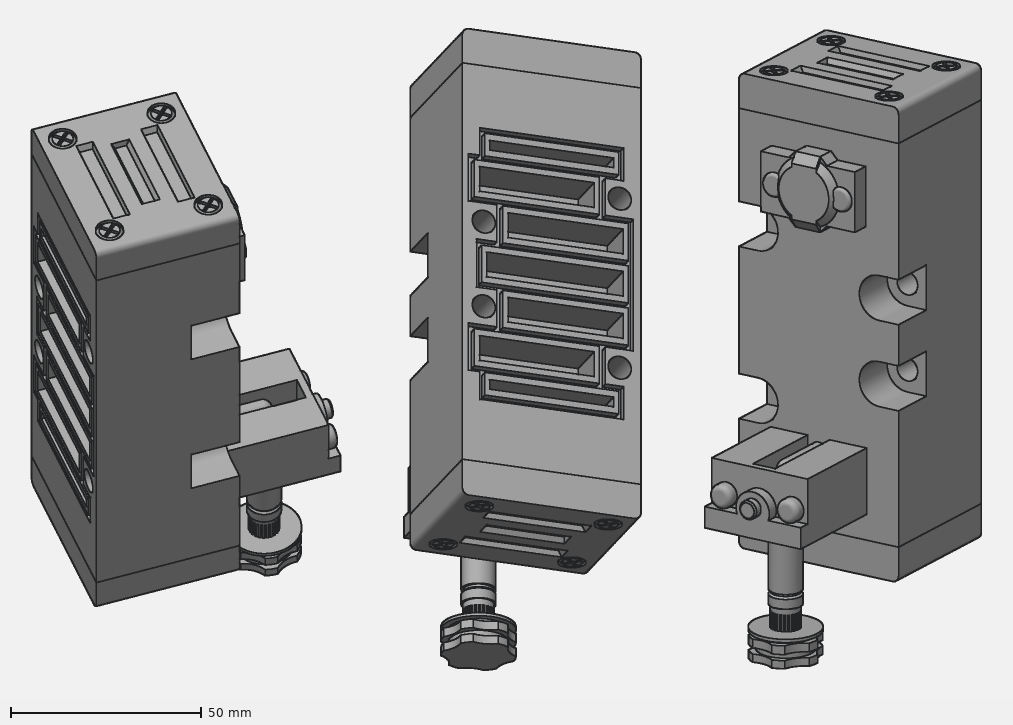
import cadquery as cq
import math


WIDTH = 50.0
DEPTH = 40.0
HEIGHT = 132.8
OVERALL_HEIGHT = 153.4
CAP_HEIGHT = 10.0
CAP_EDGE_RADIUS = 1.8
BODY_HEIGHT = HEIGHT - 2 * CAP_HEIGHT

GASKET_DEPTH = 2.3
POCKET_DEPTH = 12.3
GAP = 1.4
OUTER_ROW_Z = 24.0
ROW_PITCH = OUTER_ROW_Z / 2
ROW_FRAME_HEIGHT = 10.6
ROW_POCKET_HEIGHT = 7.0
CENTRE_LEFT, CENTRE_RIGHT = -19.6, 21.5
INNER_LEFT, INNER_RIGHT = -13.6, 21.5
OUTER_LEFT, OUTER_RIGHT = -21.6, 13.3
RIM = 1.45
END_FRAME_HALF = 18.7
END_FRAME_HEIGHT = 6.5
END_FRAME_Z = 34.0
END_RIM = 1.4
END_POCKET_HEIGHT = 2.8
WIDE_GAP = 1.7
CENTRE_GAP = 0.85
END_STEP = 1.5
HOLE_X = 19.0
HOLE_DIAMETER = 6.5
NUT_RECESS_RADIUS = 6.3
NUT_RECESS_DEPTH = 13.5

CAP_SLOT_DEPTH = 1.5
CAP_SLOT_OFFSET = 9.0
SIDE_SLOT_MOUTH = (28.5, 4.6)
SIDE_SLOT_FLOOR = (26.4, 3.7)
MIDDLE_SLOT_MOUTH = (23.6, 5.0)
MIDDLE_SLOT_FLOOR = (22.7, 3.2)
CAP_SCREW_SPACING = 36.0
CAP_SCREW_X = CAP_SCREW_SPACING / 2
CAP_SCREW_Y = 13.8
CAP_SCREW_RADIUS = 3.7
CAP_SCREW_CROWN = 2.8
CAP_SCREW_BEVEL_DEPTH = 0.9
CROSS_LENGTH = 5.2
CROSS_WIDTH = 0.8
CROSS_DEPTH = 1.2

UNIT_WIDTH = 30.0
UNIT_SCREW_X = 10.5
UNIT_SCREW_RADIUS = 3.4

COVER_Z = 39.5
COVER_WIDTH = 29.5
COVER_HEIGHT = 16.9
COVER_THICKNESS = 5.2
TAB_HALF_HEIGHT = 10.6
TAB_HALF_WIDTH = 3.8
TAB_SLOPE = TAB_HALF_HEIGHT - COVER_HEIGHT / 2
BOSS_HEIGHT = 2.0
BOSS_BASE_RADIUS = 9.8
BOSS_TOP_RADIUS = 7.8
COVER_SCREW_HEAD = 1.0
COVER_SCREW_ROUND = 0.9

PILOT_TOP = -30.7
PILOT_BOTTOM = -49.2
SHELF_Z = -43.2
PILOT_FACE_Y = 68.5
SHELF_Y = 71.9
CHANNEL_WIDTH = 6.9
CHANNEL_END_Y = 66.4
CHANNEL_DEPTH = 7.7
PILOT_SCREW_Z = SHELF_Z + UNIT_SCREW_RADIUS
PILOT_SCREW_ROUND = 1.5
BUTTON_RADIUS = 2.6
BUTTON_Z = SHELF_Z + BUTTON_RADIUS
BUTTON_END_Y = 74.5
BUTTON_BEVEL = 0.5
COLLAR_RADIUS = 5.2
COLLAR_Z = -41.4

SPINDLE_DIAMETER = 5.0
SPINDLE_RADIUS = SPINDLE_DIAMETER / 2
SPINDLE_SHOULDER_Y = 55.8
SPINDLE_END_Y = 58.1
SPINDLE_Z = PILOT_TOP - CHANNEL_DEPTH / 2

PLUG_Y = 56.0
STEM_RADIUS = 4.6
STEM_GROOVE_RADIUS = 4.0
STEM_NECK_RADIUS = 4.1
STEM_END = -68.1
RING_TOP = -68.9
RING_BEVEL = 0.6
RING_BOTTOM = -72.2
SERRATION_TOP = -74.0
SERRATION_COUNT = 24
SERRATION_DEPTH = 0.38
NUT_DIAMETER = 19.8
NUT_RADIUS = NUT_DIAMETER / 2
NUT_NECK_RADIUS = 8.0
NUT_TOP = -78.7
NUT_BOTTOM = HEIGHT / 2 - OVERALL_HEIGHT
RIM_BOTTOM = -79.6
UPPER_GRIP_TOP, UPPER_GRIP_BOTTOM = -80.5, -83.0
LOWER_GRIP_TOP = -84.6
SCOOP_COUNT = 6
SCOOP_RADIUS = 7.7
SCOOP_DEPTH = 1.4
SCOOP_ANGLE = 21.5


def box(x0, x1, y0, y1, z0, z1):
    """Box between opposite corner coordinates."""
    return cq.Workplane("XY").box(x1 - x0, y1 - y0, z1 - z0, centered=False).translate((x0, y0, z0))


def rod(x, z, radius, y0, y1):
    """Cylinder along +Y from y0 to y1."""
    return cq.Workplane(cq.Solid.makeCylinder(radius, y1 - y0, cq.Vector(x, y0, z), cq.Vector(0, 1, 0)))


def screw_head(x, z, y0, end_y, edge_radius):
    """Round screw head on the back, with a rounded rim at end_y."""
    return rod(x, z, UNIT_SCREW_RADIUS, y0, end_y).faces(">Y").edges().fillet(edge_radius)


def gasket_groove():
    """Stepped area enclosing all the frames, before the frames are put back."""
    centre_row_edge = ROW_PITCH / 2
    inner_row_edge = 3 * ROW_PITCH / 2
    centre_edge = centre_row_edge + CENTRE_GAP
    inner_edge_left = inner_row_edge - GAP / 2
    inner_edge_right = inner_row_edge + GAP / 2
    outer_edge_left = END_FRAME_Z - END_FRAME_HEIGHT / 2
    outer_edge_right = outer_edge_left - END_STEP
    end_edge = END_FRAME_Z + END_FRAME_HEIGHT / 2 + GAP
    end_half = END_FRAME_HALF + GAP
    upper_right = [
        (INNER_RIGHT + GAP, inner_edge_right),
        (OUTER_RIGHT + WIDE_GAP, inner_edge_right),
        (OUTER_RIGHT + WIDE_GAP, outer_edge_right),
        (end_half, outer_edge_right),
        (end_half, end_edge),
    ]
    upper_left = [
        (-end_half, end_edge),
        (-end_half, outer_edge_left),
        (OUTER_LEFT - WIDE_GAP, outer_edge_left),
        (OUTER_LEFT - WIDE_GAP, inner_edge_left),
        (INNER_LEFT - WIDE_GAP, inner_edge_left),
        (INNER_LEFT - WIDE_GAP, centre_edge),
        (CENTRE_LEFT - GAP, centre_edge),
    ]
    upper = upper_right + upper_left
    lower = [(x, -z) for x, z in reversed(upper)]
    return cq.Workplane("XZ").polyline(upper + lower).close().extrude(-GASKET_DEPTH)


def framed_pocket(body, z, left, right, rim, frame_height, pocket_height):
    """Stand a frame in the gasket groove and sink a pocket inside it."""
    frame_half = frame_height / 2
    pocket_half = pocket_height / 2
    frame = box(left, right, 0, GASKET_DEPTH, z - frame_half, z + frame_half)
    pocket = box(left + rim, right - rim, 0, POCKET_DEPTH, z - pocket_half, z + pocket_half)
    return body.union(frame).cut(pocket)


def spindle():
    """Cylinder along +Y whose free end bulges from its shoulder to its tip."""
    rise = SPINDLE_END_Y - SPINDLE_SHOULDER_Y
    nose_radius = (SPINDLE_RADIUS**2 + rise**2) / (2 * rise)
    half = SPINDLE_RADIUS / 2
    mid_y = SPINDLE_END_Y - nose_radius + math.sqrt(nose_radius**2 - half**2)
    profile = (
        cq.Workplane("XY")
        .moveTo(0, DEPTH)
        .lineTo(SPINDLE_RADIUS, DEPTH)
        .lineTo(SPINDLE_RADIUS, SPINDLE_SHOULDER_Y)
        .threePointArc((half, mid_y), (0, SPINDLE_END_Y))
        .close()
    )
    return profile.revolve(360, (0, 0, 0), (0, 1, 0)).translate((0, 0, SPINDLE_Z))


def manifold_body():
    body = box(-WIDTH / 2, WIDTH / 2, 0, DEPTH, -BODY_HEIGHT / 2, BODY_HEIGHT / 2)
    body = body.cut(gasket_groove())
    row_heights = (ROW_FRAME_HEIGHT, ROW_POCKET_HEIGHT)
    body = framed_pocket(body, 0, CENTRE_LEFT, CENTRE_RIGHT, RIM, *row_heights)
    for side in (-1, 1):
        body = framed_pocket(body, side * ROW_PITCH, INNER_LEFT, INNER_RIGHT, RIM, *row_heights)
        body = framed_pocket(body, side * OUTER_ROW_Z, OUTER_LEFT, OUTER_RIGHT, RIM, *row_heights)
        body = framed_pocket(
            body, side * END_FRAME_Z, -END_FRAME_HALF, END_FRAME_HALF, END_RIM,
            END_FRAME_HEIGHT, END_POCKET_HEIGHT,
        )

    recess_y = DEPTH - NUT_RECESS_DEPTH
    for side, row in ((-1, 1), (1, 2)):
        for z in (-row * ROW_PITCH, row * ROW_PITCH):
            x = side * HOLE_X
            body = body.cut(rod(x, z, HOLE_DIAMETER / 2, 0, DEPTH))
            body = body.cut(rod(x, z, NUT_RECESS_RADIUS, recess_y, DEPTH))
            x0, x1 = sorted((x, side * WIDTH / 2))
            body = body.cut(box(x0, x1, recess_y, DEPTH, z - NUT_RECESS_RADIUS, z + NUT_RECESS_RADIUS))

    return body.union(spindle())


def tapered_slot(y, mouth, floor):
    """Slot in the top face that narrows from mouth to floor."""
    return (
        cq.Workplane("XY", origin=(0, y, HEIGHT / 2))
        .rect(*mouth)
        .workplane(offset=-CAP_SLOT_DEPTH)
        .rect(*floor)
        .loft(combine=True)
    )


def cap_screw_cut(x, y):
    """Bevelled rim and cross recess that shape a flush screw head in the top face."""
    rim = (
        cq.Workplane("XZ")
        .polyline([(CAP_SCREW_CROWN, 0), (CAP_SCREW_RADIUS, 0), (CAP_SCREW_RADIUS, -CAP_SCREW_BEVEL_DEPTH)])
        .close()
        .revolve(360, (0, 0, 0), (0, 1, 0))
    )
    cross = cq.Workplane("XY").rect(CROSS_LENGTH, CROSS_WIDTH).extrude(-CROSS_DEPTH)
    cross = cross.union(cross.rotate((0, 0, 0), (0, 0, 1), 90)).rotate((0, 0, 0), (0, 0, 1), 45)
    return rim.union(cross).translate((x, y, HEIGHT / 2))


def end_cap():
    """Top end cap."""
    cap = box(-WIDTH / 2, WIDTH / 2, 0, DEPTH, BODY_HEIGHT / 2, HEIGHT / 2)
    cap = cap.faces(">Z").edges("|Y").fillet(CAP_EDGE_RADIUS)
    middle = DEPTH / 2
    cap = cap.cut(tapered_slot(middle, MIDDLE_SLOT_MOUTH, MIDDLE_SLOT_FLOOR))
    for side in (-1, 1):
        cap = cap.cut(tapered_slot(middle + side * CAP_SLOT_OFFSET, SIDE_SLOT_MOUTH, SIDE_SLOT_FLOOR))
        for x in (-CAP_SCREW_X, CAP_SCREW_X):
            cap = cap.cut(cap_screw_cut(x, middle + side * CAP_SCREW_Y))
    return cap


def cover_plate():
    face_y = DEPTH + COVER_THICKNESS
    top_y = face_y + BOSS_HEIGHT
    half_width = COVER_WIDTH / 2
    half_height = COVER_HEIGHT / 2
    foot = TAB_HALF_WIDTH + TAB_SLOPE
    upper = [
        (half_width, half_height),
        (foot, half_height),
        (TAB_HALF_WIDTH, TAB_HALF_HEIGHT),
        (-TAB_HALF_WIDTH, TAB_HALF_HEIGHT),
        (-foot, half_height),
        (-half_width, half_height),
    ]
    lower = [(x, -z) for x, z in reversed(upper)]
    plate = (
        cq.Workplane("XZ", origin=(0, DEPTH, 0))
        .polyline(upper + lower)
        .close()
        .extrude(-COVER_THICKNESS)
    )
    ridge = (
        cq.Workplane("YZ")
        .polyline([
            (face_y, -TAB_HALF_HEIGHT),
            (face_y, TAB_HALF_HEIGHT),
            (top_y, BOSS_TOP_RADIUS),
            (top_y, -BOSS_TOP_RADIUS),
        ])
        .close()
        .extrude(TAB_HALF_WIDTH, both=True)
    )
    boss = cq.Workplane(cq.Solid.makeCone(
        BOSS_BASE_RADIUS, BOSS_TOP_RADIUS, BOSS_HEIGHT, cq.Vector(0, face_y, 0), cq.Vector(0, 1, 0)
    ))
    cover = plate.union(boss).union(ridge)
    for x in (-UNIT_SCREW_X, UNIT_SCREW_X):
        cover = cover.union(screw_head(x, 0, DEPTH, face_y + COVER_SCREW_HEAD, COVER_SCREW_ROUND))
    return cover.translate((0, 0, COVER_Z))


def pilot_valve():
    half_width = UNIT_WIDTH / 2
    valve = box(-half_width, half_width, DEPTH, PILOT_FACE_Y, PILOT_BOTTOM, PILOT_TOP)
    valve = valve.union(box(-half_width, half_width, DEPTH, SHELF_Y, PILOT_BOTTOM, SHELF_Z))
    valve = valve.cut(box(
        -CHANNEL_WIDTH / 2, CHANNEL_WIDTH / 2,
        DEPTH, CHANNEL_END_Y,
        PILOT_TOP - CHANNEL_DEPTH, PILOT_TOP,
    ))
    for x in (-UNIT_SCREW_X, UNIT_SCREW_X):
        valve = valve.union(screw_head(x, PILOT_SCREW_Z, PILOT_FACE_Y, SHELF_Y, PILOT_SCREW_ROUND))
    valve = valve.union(rod(0, COLLAR_Z, COLLAR_RADIUS, PILOT_FACE_Y, SHELF_Y))
    button = rod(0, BUTTON_Z, BUTTON_RADIUS, PILOT_FACE_Y, BUTTON_END_Y)
    return valve.union(button.faces(">Y").chamfer(BUTTON_BEVEL))


def cable_connector():
    profile = [
        (0, PILOT_BOTTOM),
        (STEM_RADIUS, PILOT_BOTTOM),
        (STEM_RADIUS, STEM_END),
        (STEM_GROOVE_RADIUS, STEM_END),
        (STEM_GROOVE_RADIUS, RING_TOP),
        (STEM_RADIUS, RING_TOP - RING_BEVEL),
        (STEM_RADIUS, RING_BOTTOM),
        (STEM_NECK_RADIUS, RING_BOTTOM),
        (STEM_NECK_RADIUS, NUT_TOP),
        (NUT_RADIUS, NUT_TOP),
        (NUT_RADIUS, RIM_BOTTOM),
        (NUT_NECK_RADIUS, RIM_BOTTOM),
        (NUT_NECK_RADIUS, UPPER_GRIP_TOP),
        (NUT_RADIUS, UPPER_GRIP_TOP),
        (NUT_RADIUS, UPPER_GRIP_BOTTOM),
        (NUT_NECK_RADIUS, UPPER_GRIP_BOTTOM),
        (NUT_NECK_RADIUS, LOWER_GRIP_TOP),
        (NUT_RADIUS, LOWER_GRIP_TOP),
        (NUT_RADIUS, NUT_BOTTOM),
        (0, NUT_BOTTOM),
    ]
    connector = cq.Workplane("XZ").polyline(profile).close().revolve(360, (0, 0, 0), (0, 1, 0))

    root = STEM_NECK_RADIUS - SERRATION_DEPTH
    half_pitch = math.pi * STEM_NECK_RADIUS / SERRATION_COUNT
    serration = (
        cq.Workplane("XY", origin=(0, 0, NUT_TOP))
        .polyline([
            (root, 0),
            (STEM_NECK_RADIUS + SERRATION_DEPTH, half_pitch),
            (STEM_NECK_RADIUS + SERRATION_DEPTH, -half_pitch),
        ])
        .close()
        .extrude(SERRATION_TOP - NUT_TOP)
    )
    for k in range(SERRATION_COUNT):
        connector = connector.cut(serration.rotate((0, 0, 0), (0, 0, 1), k * 360 / SERRATION_COUNT))

    scoops = (
        cq.Workplane("XY", origin=(0, 0, NUT_BOTTOM))
        .polarArray(NUT_RADIUS - SCOOP_DEPTH + SCOOP_RADIUS, SCOOP_ANGLE, 360, SCOOP_COUNT)
        .circle(SCOOP_RADIUS)
        .extrude(UPPER_GRIP_TOP - NUT_BOTTOM)
    )
    connector = connector.cut(scoops)
    return connector.translate((0, PLUG_Y, 0))


body = manifold_body()
top_cap = end_cap()
bottom_cap = top_cap.mirror("XY")
cover = cover_plate()
pilot = pilot_valve()
connector = cable_connector()

result = cq.Compound.makeCompound([
    body.val(),
    top_cap.val(),
    bottom_cap.val(),
    cover.val(),
    pilot.val(),
    connector.val(),
])